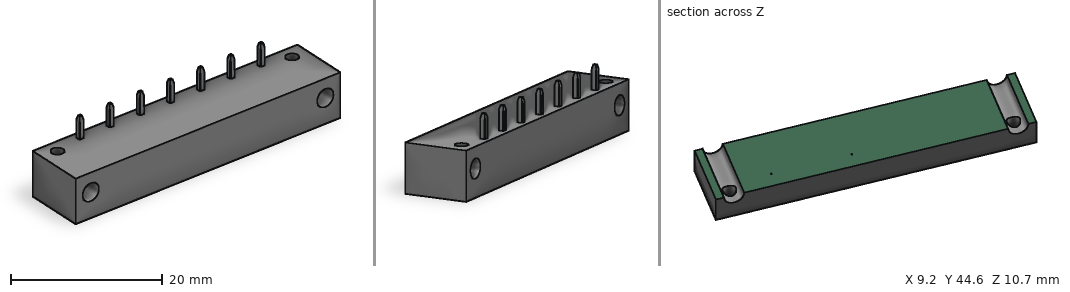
import cadquery as cq

pin_count = 7
pin_pitch = 5.08
pin_row_length = (pin_count - 1) * pin_pitch
pin_inset = 1.2
pin_width = 0.8
pin_height = 3.4
pin_tip_height = 0.8
pin_tip_width = 0.4
pin_edge_chamfer = 0.1

hole_offset = 4.5
hole_edge_distance = 2.55
cross_hole_diameter = 2.75
cross_hole_height = 4.0
vertical_hole_diameter = 1.85
vertical_hole_inset = 2.1

housing_width = 9.2
housing_length = pin_row_length + 2 * (hole_offset + hole_edge_distance)
housing_height = 7.0

rib_inset = 5.55
rib_width = 0.5
rib_length = pin_row_length + pin_pitch
rib_depth = 0.25
rib_chamfer = 0.1


def make_housing():
    return cq.Workplane("XY").box(
        housing_width, housing_length, housing_height, centered=(False, True, False)
    )


def make_pin(y):
    """Square pin with a tapered, flat-ended tip and chamfered upright edges that run into the taper."""
    base = cq.Workplane("XY", origin=(pin_inset, y, housing_height))
    shank_height = pin_height - pin_tip_height
    tapered_pin = (
        base.rect(pin_width, pin_width)
        .extrude(shank_height)
        .faces(">Z").workplane()
        .rect(pin_width, pin_width)
        .workplane(offset=pin_tip_height)
        .rect(pin_tip_width, pin_tip_width)
        .loft(combine=True)
    )
    chamfered_bar = (
        base.rect(pin_width, pin_width)
        .extrude(pin_height)
        .edges("|Z").chamfer(pin_edge_chamfer)
    )
    return tapered_pin.intersect(chamfered_bar)


def make_rib():
    return (
        cq.Workplane("XY")
        .box(rib_width, rib_length, rib_depth, centered=(False, True, False))
        .edges("|Y and <Z").chamfer(rib_chamfer)
        .translate((rib_inset, 0, -rib_depth))
    )


def make_mounting_holes(y):
    """Cross hole along X and a smaller vertical hole meeting it."""
    cross_hole = (
        cq.Workplane("YZ", origin=(0, y, cross_hole_height))
        .circle(cross_hole_diameter / 2)
        .extrude(housing_width)
    )
    vertical_hole = (
        cq.Workplane("XY", origin=(vertical_hole_inset, y, 0))
        .circle(vertical_hole_diameter / 2)
        .extrude(housing_height)
    )
    return cross_hole.union(vertical_hole)


result = make_housing().union(make_rib())
for index in range(pin_count):
    result = result.union(make_pin(index * pin_pitch - pin_row_length / 2))
for end in (-1, 1):
    result = result.cut(make_mounting_holes(end * (pin_row_length / 2 + hole_offset)))